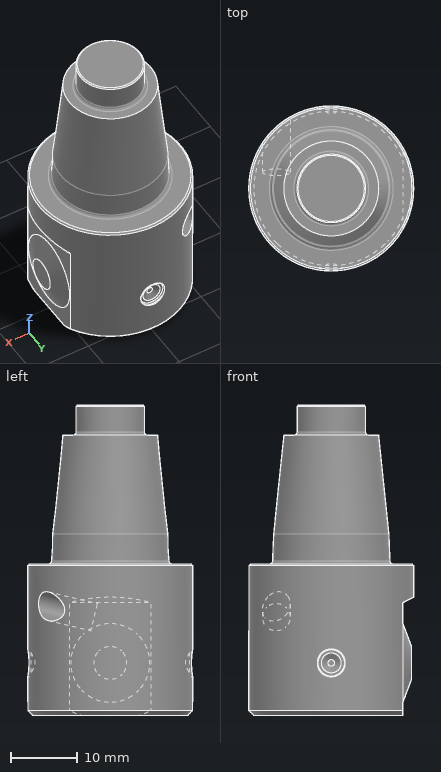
import cadquery as cq
import math

total_height = 47.0
body_diameter = 25.0
body_top = 23.0
body_bottom_chamfer = 0.8
body_top_chamfer = 0.3

taper_base_diameter = 17.85
taper_knee_diameter = 17.5
taper_top_diameter = 14.4
taper_knee_height = 27.5
taper_top_height = 42.5

pin_diameter = 10.4
pin_chamfer = 0.2
root_fillet = 0.45

flat_distance = 10.85
flat_top = 17.1
flat_end_slope = 27.0
boss_tip_distance = 12.15
boss_tip_diameter = 5.0
boss_base_diameter = 11.95

cross_axis_height = 8.0
screw_mouth_diameter = 4.25
screw_face_diameter = 4.0
screw_face_depth = 0.5
socket_mouth_diameter = 3.0
socket_floor_diameter = 1.0
socket_depth = 0.55

slant_hole_diameter = 4.25
slant_hole_x = -8.3
slant_hole_y = 9.3
slant_hole_z = 16.55
slant_hole_angle = 13.4
slant_hole_depth = 7.05

body_radius = body_diameter / 2
clearance = 2.35


def circular_edge(solid, diameter, height):
    """Select the circular edge of the given diameter lying at the given height."""
    tolerance = 0.005

    def matches(edge):
        box = edge.BoundingBox()
        level = abs(box.zmin - height) < tolerance and abs(box.zmax - height) < tolerance
        return edge.geomType() == "CIRCLE" and level and abs(edge.radius() - diameter / 2) < tolerance

    return solid.edges().filter(matches)


def turned_body():
    """Body, two-stage tapered neck and end pin, revolved in one piece."""
    solid = (
        cq.Workplane("XZ")
        .moveTo(0, 0)
        .lineTo(body_radius, 0)
        .lineTo(body_radius, body_top)
        .lineTo(taper_base_diameter / 2, body_top)
        .lineTo(taper_knee_diameter / 2, taper_knee_height)
        .lineTo(taper_top_diameter / 2, taper_top_height)
        .lineTo(pin_diameter / 2, taper_top_height)
        .lineTo(pin_diameter / 2, total_height)
        .lineTo(0, total_height)
        .close()
        .revolve(360, (0, 0, 0), (0, 1, 0))
    )
    solid = circular_edge(solid, body_diameter, 0).chamfer(body_bottom_chamfer)
    solid = circular_edge(solid, body_diameter, body_top).chamfer(body_top_chamfer)
    solid = circular_edge(solid, pin_diameter, total_height).chamfer(pin_chamfer)
    solid = circular_edge(solid, taper_base_diameter, body_top).fillet(root_fillet)
    return circular_edge(solid, pin_diameter, taper_top_height).fillet(root_fillet)


def side_flat():
    """Material removed to form the flat, open at the bottom and sloped at the top."""
    outer_x = body_radius + clearance
    outer_z = flat_top + (outer_x - flat_distance) * math.tan(math.radians(flat_end_slope))
    return (
        cq.Workplane("XZ")
        .moveTo(flat_distance, -clearance)
        .lineTo(outer_x, -clearance)
        .lineTo(outer_x, outer_z)
        .lineTo(flat_distance, flat_top)
        .close()
        .extrude(body_radius, both=True)
    )


def cylinder(start, direction, diameter, length):
    """Cylinder running from start along direction."""
    base = cq.Vector(*start)
    axis = cq.Vector(*direction)
    return cq.Workplane(cq.Solid.makeCylinder(diameter / 2, length, base, axis))


def cone(start, direction, start_diameter, end_diameter, length):
    """Truncated cone running from start along direction."""
    base = cq.Vector(*start)
    axis = cq.Vector(*direction)
    return cq.Workplane(cq.Solid.makeCone(start_diameter / 2, end_diameter / 2, length, base, axis))


def boss():
    """Truncated cone on the flat."""
    start = (flat_distance, 0, cross_axis_height)
    height = boss_tip_distance - flat_distance
    return cone(start, (1, 0, 0), boss_base_diameter, boss_tip_diameter, height)


def screw_recess(side):
    """Slightly tapered recess down to the screw face, with a conical socket; side is -1 or +1 along Y."""
    outward = (0, side, 0)
    inward = (0, -side, 0)
    mouth_radius = screw_mouth_diameter / 2
    mouth_y = math.sqrt(body_radius**2 - mouth_radius**2)
    face_y = body_radius - screw_face_depth

    def on_axis(distance):
        return (0, side * distance, cross_axis_height)

    entry = cylinder(on_axis(mouth_y), outward, screw_mouth_diameter, clearance)
    wall = cone(on_axis(mouth_y), inward, screw_mouth_diameter, screw_face_diameter, mouth_y - face_y)
    socket = cone(on_axis(face_y), inward, socket_mouth_diameter, socket_floor_diameter, socket_depth)
    return entry.union(wall).union(socket)


def slant_hole():
    """Blind hole entering the cylinder from +Y and falling toward -Y."""
    angle = math.radians(slant_hole_angle)
    lead = 2 * slant_hole_diameter
    start = (
        slant_hole_x,
        slant_hole_y + lead * math.cos(angle),
        slant_hole_z + lead * math.sin(angle),
    )
    inward = (0, -math.cos(angle), -math.sin(angle))
    return cylinder(start, inward, slant_hole_diameter, lead + slant_hole_depth)


result = turned_body().cut(side_flat()).union(boss())
for side in (-1, 1):
    result = result.cut(screw_recess(side))
result = result.cut(slant_hole())